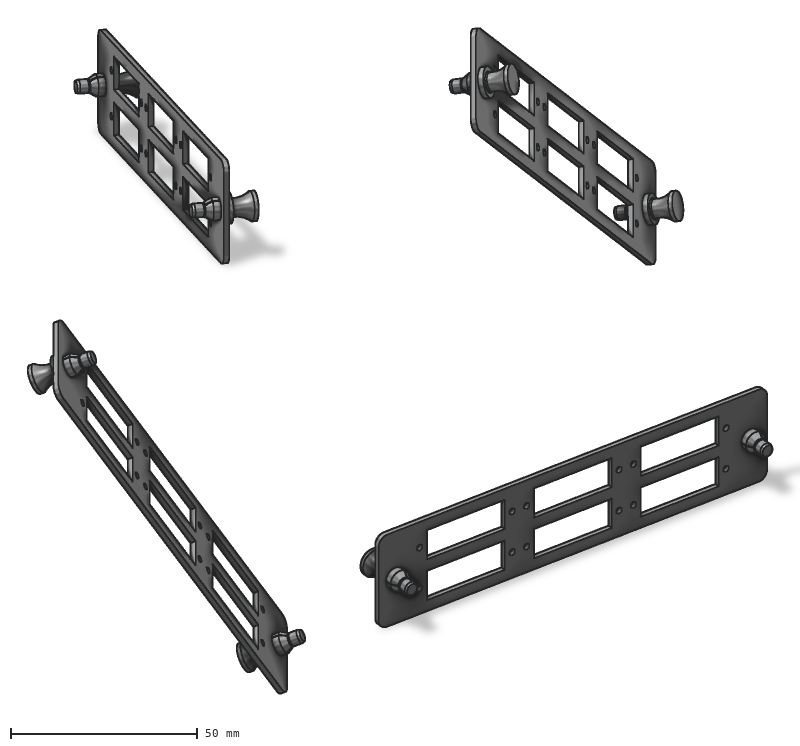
import cadquery as cq

PANEL_LENGTH = 129.5
PANEL_HEIGHT = 29.0
PANEL_THICKNESS = 1.5
CORNER_RADIUS = 3.0

WINDOW_COLUMNS = 3
WINDOW_ROWS = 2
WINDOW_PITCH_X = 35.6
WINDOW_PITCH_Z = 12.8
WINDOW_WIDTH = 25.9
WINDOW_HEIGHT = 9.2
SCREW_HOLE_SPACING = 30.8
SCREW_HOLE_DIAMETER = 1.8

FASTENER_EDGE_DISTANCE = 5.6
FASTENER_X = PANEL_LENGTH / 2 - FASTENER_EDGE_DISTANCE

STEM_RADIUS = 1.7
TIP_RADIUS = 2.0
TIP_LENGTH = 3.2
TIP_CHAMFER_LENGTH = 0.8
TIP_END_RADIUS = 1.7
FOOT_RADIUS = 3.0
FOOT_HEIGHT = 0.4
NECK_RADIUS = 2.6
NECK_LENGTH = 1.2
FLARE_LENGTH = 4.3
KNOB_RADIUS = 4.1
RIM_THICKNESS = 1.2

FLANGE_RADIUS = 4.3
FLANGE_THICKNESS = 1.5
SLEEVE_RADIUS = 3.1
SLEEVE_LENGTH = 2.1
TAPER_LENGTH = 2.0
NOSE_END_RADIUS = TIP_RADIUS
NOSE_LAND_LENGTH = 0.4
SLIT_COUNT = 3
SLIT_WIDTH = 0.3

SLEEVE_FRONT_Y = -SLEEVE_LENGTH
TAPER_FRONT_Y = SLEEVE_FRONT_Y - TAPER_LENGTH
NOSE_FRONT_Y = TAPER_FRONT_Y - NOSE_LAND_LENGTH
TIP_FRONT_Y = NOSE_FRONT_Y - TIP_LENGTH
FLANGE_BACK_Y = PANEL_THICKNESS + FLANGE_THICKNESS
FOOT_BACK_Y = FLANGE_BACK_Y + FOOT_HEIGHT
NECK_BACK_Y = FOOT_BACK_Y + NECK_LENGTH
RIM_FRONT_Y = NECK_BACK_Y + FLARE_LENGTH
RIM_BACK_Y = RIM_FRONT_Y + RIM_THICKNESS


def make_panel():
    panel = (
        cq.Workplane("XZ")
        .rect(PANEL_LENGTH, PANEL_HEIGHT)
        .extrude(-PANEL_THICKNESS)
        .edges("|Y")
        .fillet(CORNER_RADIUS)
    )
    windows = (
        cq.Workplane("XZ")
        .rarray(WINDOW_PITCH_X, WINDOW_PITCH_Z, WINDOW_COLUMNS, WINDOW_ROWS)
        .rect(WINDOW_WIDTH, WINDOW_HEIGHT)
        .extrude(-PANEL_THICKNESS)
    )
    panel = panel.cut(windows)
    for side in (-1, 1):
        screw_holes = (
            cq.Workplane("XZ")
            .center(side * SCREW_HOLE_SPACING / 2, 0)
            .rarray(WINDOW_PITCH_X, WINDOW_PITCH_Z, WINDOW_COLUMNS, WINDOW_ROWS)
            .circle(SCREW_HOLE_DIAMETER / 2)
            .extrude(-PANEL_THICKNESS)
        )
        panel = panel.cut(screw_holes)
    sleeve_holes = (
        cq.Workplane("XZ")
        .pushPoints([(-FASTENER_X, 0), (FASTENER_X, 0)])
        .circle(SLEEVE_RADIUS)
        .extrude(-PANEL_THICKNESS)
    )
    return panel.cut(sleeve_holes)


def revolve_about_y(profile):
    return profile.close().revolve(360, (0, 0, 0), (0, 1, 0))


def make_grommet(x):
    grommet = revolve_about_y(
        cq.Workplane("XY")
        .moveTo(STEM_RADIUS, NOSE_FRONT_Y)
        .lineTo(NOSE_END_RADIUS, NOSE_FRONT_Y)
        .lineTo(NOSE_END_RADIUS, TAPER_FRONT_Y)
        .lineTo(SLEEVE_RADIUS, SLEEVE_FRONT_Y)
        .lineTo(SLEEVE_RADIUS, PANEL_THICKNESS)
        .lineTo(FLANGE_RADIUS, PANEL_THICKNESS)
        .lineTo(FLANGE_RADIUS, FLANGE_BACK_Y)
        .lineTo(STEM_RADIUS, FLANGE_BACK_Y)
    )
    slit = (
        cq.Workplane("XZ")
        .center(-SLEEVE_RADIUS / 2, 0)
        .rect(SLEEVE_RADIUS, SLIT_WIDTH)
        .extrude(abs(NOSE_FRONT_Y))
    )
    for index in range(SLIT_COUNT):
        angle = index * 360 / SLIT_COUNT
        grommet = grommet.cut(slit.rotate((0, 0, 0), (0, 1, 0), angle))
    return grommet.translate((x, 0, 0))


def make_plunger(x):
    plunger = revolve_about_y(
        cq.Workplane("XY")
        .moveTo(0, TIP_FRONT_Y)
        .lineTo(TIP_END_RADIUS, TIP_FRONT_Y)
        .lineTo(TIP_RADIUS, TIP_FRONT_Y + TIP_CHAMFER_LENGTH)
        .lineTo(TIP_RADIUS, NOSE_FRONT_Y)
        .lineTo(STEM_RADIUS, NOSE_FRONT_Y)
        .lineTo(STEM_RADIUS, FLANGE_BACK_Y)
        .lineTo(FOOT_RADIUS, FLANGE_BACK_Y)
        .lineTo(NECK_RADIUS, FOOT_BACK_Y)
        .lineTo(NECK_RADIUS, NECK_BACK_Y)
        .tangentArcPoint((KNOB_RADIUS, RIM_FRONT_Y), relative=False)
        .lineTo(KNOB_RADIUS, RIM_BACK_Y)
        .lineTo(0, RIM_BACK_Y)
    )
    return plunger.translate((x, 0, 0))


panel = make_panel()
grommets = [make_grommet(x) for x in (-FASTENER_X, FASTENER_X)]
plungers = [make_plunger(x) for x in (-FASTENER_X, FASTENER_X)]

result = cq.Compound.makeCompound(
    [panel.val()]
    + [grommet.val() for grommet in grommets]
    + [plunger.val() for plunger in plungers]
)